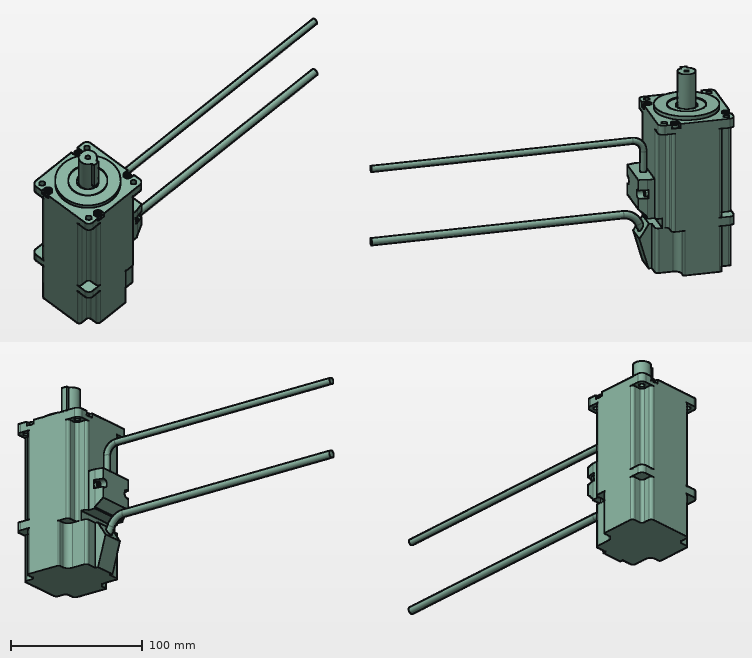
import cadquery as cq
import math


width = 60.2
half = width / 2
overall_length = 280.0
overall_height = 156.0

shaft_length = 27.2
pilot_height = 3.0
flange_thickness = 7.5
end_cap_height = 37.8
mid_plate_thickness = 7.0

pilot_top = overall_height - shaft_length
flange_top = pilot_top - pilot_height
flange_bottom = flange_top - flange_thickness
mid_plate_top = end_cap_height + mid_plate_thickness
cable_end = overall_length - half

notch = 10.0
notch_fillet = 2.5
plate_corner_radius = 4.2
mid_plate_rear_inset = 12.5

relief_depth = 19.0
relief_fillet = 5.3
relief_edge_fillet = 1.0
relief_top = 37.0
gap_depth = 5.3

pilot_diameter = 50.0
recess_diameter = 30.0
recess_depth = 0.8
seal_diameter = 16.8
seal_gap_depth = 1.5
mount_hole_diameter = 4.5
mount_hole_offset = 24.5

counterbore_diameter = 6.7
screw_head_diameter = 5.5
screw_head_height = 2.5
hex_socket_diameter = 3.4
hex_socket_depth = 1.5

screw_near_offset = 16.5
screw_far_offset = 26.5
flange_counterbore_depth = 3.4

shaft_diameter = 14.0
center_hole_diameter = 3.5
center_hole_depth = 9.8
key_width = 5.0
key_length = 25.5
key_reach = 9.0

upper_width = 35.0
upper_reach = 12.5
upper_bottom = mid_plate_top
upper_top = 77.0
upper_side_reach = 6.0
upper_side_taper = 1.7
upper_slope_rise = 7.8
upper_slope_lip = 1.0
upper_screw_level = 65.0
upper_screw_inset = 3.0
upper_screw_seat_reach = 4.8
upper_cable_diameter = 5.0
upper_cable_level = 103.0
upper_cable_offset = 4.2
upper_bend_radius = 9.0
upper_cable_embed = 2.8

lower_width = 18.2
lower_bottom_reach = 2.5
lower_peak_reach = 9.8
lower_peak_level = 25.2
lower_top_reach = 2.2
lower_cable_diameter = 6.0
lower_cable_level = 42.8
lower_bend_start = 20.5
lower_bend_radius = 13.7
lower_bend_angle = 65.0
lower_tail = 7.0


def block(x_min, x_max, y_min, y_max, z_min, z_max):
    """Box given by its limits along each axis."""
    return cq.Workplane("XY").box(
        x_max - x_min, y_max - y_min, z_max - z_min, centered=False
    ).translate((x_min, y_min, z_min))


def cylinder(diameter, z_min, z_max, x=0.0, y=0.0):
    """Upright cylinder between two levels."""
    return cq.Workplane("XY", origin=(x, y, z_min)).circle(diameter / 2).extrude(z_max - z_min)


def square_plate(z_min, z_max):
    """Full-width plate with rounded corners."""
    return block(-half, half, -half, half, z_min, z_max).edges("|Z").fillet(plate_corner_radius)


def make_housing():
    """Extruded housing with notched corners, open at the rear of the end cap."""
    core = half - notch
    housing = block(-half, half, -core, core, 0, flange_bottom)
    housing = housing.union(block(-core, core, -half, half, 0, flange_bottom))
    housing = housing.edges("|Z").fillet(notch_fillet)

    relief_front = half - relief_depth
    for side in (-1, 1):
        inner, outer = sorted((side * core, side * half))
        relief = block(inner, outer, relief_front, half, 0, relief_top)
        inner_edge = cq.NearestToPointSelector((side * core, relief_front, relief_top / 2))
        relief = relief.edges(inner_edge).fillet(relief_fillet)
        housing = housing.cut(relief)
        outer_edge = cq.NearestToPointSelector((side * half, relief_front, relief_top / 2))
        housing = housing.edges(outer_edge).fillet(relief_edge_fillet)

    plate = square_plate(end_cap_height, mid_plate_top)
    plate_rear = half - mid_plate_rear_inset
    plate = plate.cut(block(-half, half, plate_rear, half, end_cap_height, mid_plate_top))
    gap = block(-half, half, half - gap_depth, half, relief_top, mid_plate_top)
    return housing.union(plate).cut(gap)


def make_screw_pocket(depth, opening):
    """Counterbore rising from Z = 0, open towards -Y up to the given distance from its axis."""
    radius = counterbore_diameter / 2
    return cylinder(counterbore_diameter, 0, depth).union(
        block(-radius, radius, -opening, 0, 0, depth)
    )


def make_screw_head():
    """Screw head standing on Z = 0 with a hexagon socket."""
    socket = (
        cq.Workplane("XY", origin=(0, 0, screw_head_height))
        .polygon(6, hex_socket_diameter)
        .extrude(-hex_socket_depth)
    )
    return cylinder(screw_head_diameter, 0, screw_head_height).cut(socket)


def make_flange():
    """Mounting flange with its pilot, four mounting holes and four sunk screws."""
    flange = square_plate(flange_bottom, flange_top)
    flange = flange.union(cylinder(pilot_diameter, flange_bottom, pilot_top))
    recess_floor = pilot_top - recess_depth
    flange = flange.cut(cylinder(recess_diameter, recess_floor, pilot_top))
    flange = flange.cut(cylinder(seal_diameter, recess_floor - seal_gap_depth, recess_floor))

    seat = flange_top - flange_counterbore_depth
    pocket = make_screw_pocket(flange_counterbore_depth, half - screw_far_offset)
    position = (-screw_near_offset, -screw_far_offset, seat)
    pocket = pocket.translate(position)
    head = make_screw_head().translate(position)
    hole = cylinder(mount_hole_diameter, flange_bottom, flange_top, mount_hole_offset, mount_hole_offset)
    for turn in (0, 90, 180, 270):
        axis = ((0, 0, 0), (0, 0, 1), turn)
        flange = flange.cut(pocket.rotate(*axis)).cut(hole.rotate(*axis))
        flange = flange.union(head.rotate(*axis))
    return flange


def make_shaft():
    """Output shaft with a key on its +X side and a center hole in its end."""
    shaft = cylinder(shaft_diameter, flange_bottom, overall_height)
    key = block(0, key_reach, -key_width / 2, key_width / 2, overall_height - key_length, overall_height)
    hole = cylinder(center_hole_diameter, overall_height - center_hole_depth, overall_height)
    return shaft.union(key).cut(hole)


def face_side(screw_part, side):
    """Turn a screw part so that its axis runs along +Y and its open side faces X."""
    along_y = screw_part.rotate((0, 0, 0), (1, 0, 0), -90)
    return along_y.rotate((0, 0, 0), (0, 1, 0), side * 90)


def make_upper_connector():
    """Signal connector with tapered sides, a sloped underside and two side screws."""
    half_width = upper_width / 2
    rear = half + upper_reach
    shoulder = half + upper_side_reach
    slope_bottom = upper_bottom + upper_slope_lip
    slope_top = upper_bottom + upper_slope_rise
    connector = (
        cq.Workplane("XY", origin=(0, 0, upper_bottom))
        .polyline([
            (-half_width, half - notch),
            (half_width, half - notch),
            (half_width, shoulder),
            (half_width - upper_side_taper, rear),
            (upper_side_taper - half_width, rear),
            (-half_width, shoulder),
        ])
        .close()
        .extrude(upper_top - upper_bottom)
    )
    underside = (
        cq.Workplane("YZ", origin=(-half_width, 0, 0))
        .polyline([
            (shoulder, upper_bottom),
            (rear, upper_bottom),
            (rear, slope_top),
            (shoulder, slope_bottom),
        ])
        .close()
        .extrude(upper_width)
    )
    connector = connector.cut(underside)
    seat = half + upper_screw_seat_reach
    pocket = make_screw_pocket(rear - seat, upper_screw_inset)
    head = make_screw_head()
    for side in (-1, 1):
        position = (side * (half_width - upper_screw_inset), seat, upper_screw_level)
        connector = connector.cut(face_side(pocket, side).translate(position))
        connector = connector.union(face_side(head, side).translate(position))
    return connector


def make_lower_connector():
    """Power connector: a wedge-shaped block on the rear of the end cap."""
    return (
        cq.Workplane("YZ", origin=(-lower_width / 2, 0, 0))
        .polyline([
            (half - notch, 0),
            (half + lower_bottom_reach, 0),
            (half + lower_peak_reach, lower_peak_level),
            (half + lower_top_reach, relief_top),
            (half - notch, relief_top),
        ])
        .close()
        .extrude(lower_width)
    )


def make_cable(diameter, level, bend_start, bend_radius, bend_angle, tail):
    """Round cable running in from +Y, bending downwards and ending in a straight tail."""
    def bend_point(degrees):
        angle = math.radians(degrees)
        return (
            bend_start - bend_radius * math.sin(angle),
            level - bend_radius * (1 - math.cos(angle)),
        )

    bend_end = bend_point(bend_angle)
    end_angle = math.radians(bend_angle)
    tail_end = (bend_end[0] - tail * math.cos(end_angle), bend_end[1] - tail * math.sin(end_angle))
    path = (
        cq.Workplane("YZ")
        .moveTo(cable_end, level)
        .lineTo(bend_start, level)
        .threePointArc(bend_point(bend_angle / 2), bend_end)
        .lineTo(*tail_end)
    )
    return cq.Workplane("XZ", origin=(0, cable_end, level)).circle(diameter / 2).sweep(path)


upper_bend_start = half + upper_cable_offset + upper_bend_radius
upper_tail = upper_cable_level - upper_bend_radius - upper_top + upper_cable_embed
upper_cable = make_cable(
    upper_cable_diameter, upper_cable_level, upper_bend_start, upper_bend_radius, 90.0, upper_tail
)
lower_cable = make_cable(
    lower_cable_diameter,
    lower_cable_level,
    half + lower_bend_start,
    lower_bend_radius,
    lower_bend_angle,
    lower_tail,
)

result = (
    make_housing()
    .union(make_flange())
    .union(make_shaft())
    .union(make_upper_connector())
    .union(make_lower_connector())
    .union(upper_cable)
    .union(lower_cable)
)